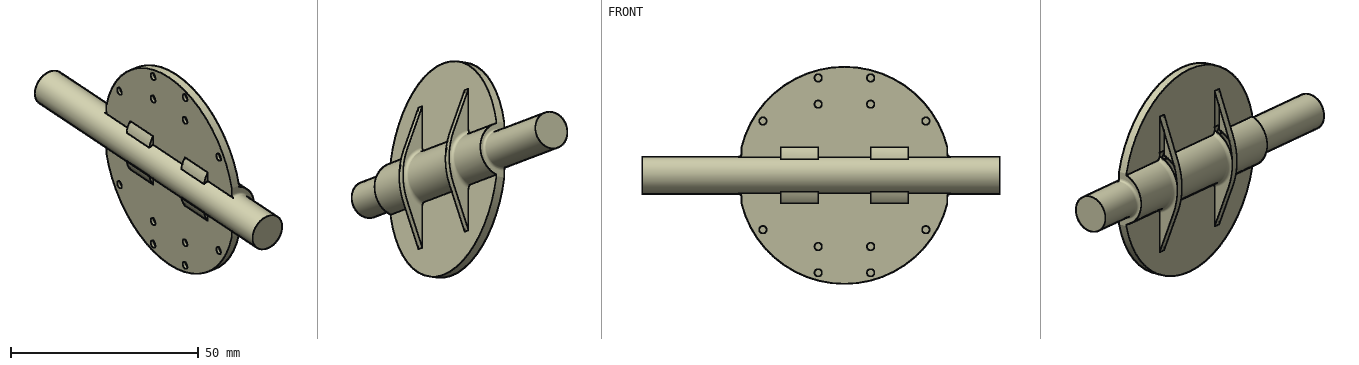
import cadquery as cq
import math

SHAFT_LENGTH = 95.5
SHAFT_RADIUS = 5.0

DISC_X = 6.25
DISC_HEIGHT = 58.0
DISC_THICKNESS = 2.5
DISC_FLAT_SPAN = 55.0
DISC_BACK = DISC_THICKNESS / 2
DISC_FRONT = -DISC_THICKNESS / 2

SLEEVE_AXIS_Y = DISC_FRONT
SLEEVE_RADIUS = 7.5
DISC_FLAT_HEIGHT = 2 * SLEEVE_RADIUS
SHAFT_FILLET = 0.7

STATION_OFFSET = 12.0
STATIONS = [DISC_X - STATION_OFFSET, DISC_X + STATION_OFFSET]
RIB_WIDTH = 2.0
RIB_HALF_SPAN = 19.4
RIB_CROWN_RADIUS = 20.0
RIB_FILLET = 1.0
RIB_HEIGHT = SLEEVE_AXIS_Y + SLEEVE_RADIUS + RIB_FILLET
CLIP_LENGTH = 10.0
CLIP_DEPTH = 2.5
CLIP_HALF_SPAN = SLEEVE_RADIUS
CLIP_MID_Y = -2.1
CLIP_MID_Z = 5.93
CLIP_TIP_Z = 4.6

HOLE_DIAMETER = 2.0
HOLE_DEPTH = 1.0
HOLE_PLACES = [(7.0, 26.0), (7.0, 19.0), (21.75, 14.5)]


def profile_at(x):
    """Sketch plane facing +X, with local x along Y and local y along Z."""
    return cq.Workplane("YZ", origin=(x, 0, 0))


def make_shaft():
    return profile_at(-SHAFT_LENGTH / 2).circle(SHAFT_RADIUS).extrude(SHAFT_LENGTH)


def make_disc():
    """Two arcs, top and bottom, joined by a flat at each X end."""
    half_span = DISC_FLAT_SPAN / 2
    half_flat = DISC_FLAT_HEIGHT / 2
    half_height = DISC_HEIGHT / 2
    return (
        cq.Workplane("XZ", origin=(DISC_X, DISC_BACK, 0))
        .moveTo(half_span, -half_flat)
        .lineTo(half_span, half_flat)
        .threePointArc((0, half_height), (-half_span, half_flat))
        .lineTo(-half_span, -half_flat)
        .threePointArc((0, -half_height), (half_span, -half_flat))
        .close()
        .extrude(DISC_THICKNESS)
    )


def behind_disc_front(body):
    """Keep only the part of a body that lies behind the front face of the disc."""
    depth = DISC_HEIGHT
    keep = cq.Workplane("XY").box(SHAFT_LENGTH, depth, DISC_HEIGHT)
    return body.intersect(keep.translate((0, DISC_FRONT + depth / 2, 0)))


def make_sleeve():
    tube = (
        profile_at(DISC_X - DISC_FLAT_SPAN / 2)
        .center(SLEEVE_AXIS_Y, 0)
        .circle(SLEEVE_RADIUS)
        .extrude(DISC_FLAT_SPAN)
    )
    return behind_disc_front(tube)


def make_fillet_ring(face_x, side, axis_y, radius, fillet):
    """Concave ring filling the corner between a round along X and a face across it.

    The face stands at face_x and the ring spreads from it towards side (-1 or +1).
    """
    tip_x = face_x + side * fillet
    arc_inset = fillet * (1 - math.sqrt(0.5))
    ring = (
        cq.Workplane("XY", origin=(0, axis_y, 0))
        .moveTo(face_x, 0)
        .lineTo(face_x, radius + fillet)
        .threePointArc((face_x + side * arc_inset, radius + arc_inset), (tip_x, radius))
        .lineTo(tip_x, 0)
        .close()
        .revolve(360, (0, 0, 0), (1, 0, 0))
    )
    return behind_disc_front(ring)


def make_rib(x):
    """Rib behind the disc: a round crown with a straight tangent down to each foot."""
    crown_y = RIB_HEIGHT - RIB_CROWN_RADIUS
    foot_angle = math.atan2(RIB_HALF_SPAN, DISC_BACK - crown_y)
    foot_distance = math.hypot(RIB_HALF_SPAN, DISC_BACK - crown_y)
    tangent_angle = foot_angle - math.acos(RIB_CROWN_RADIUS / foot_distance)
    tangent_y = crown_y + RIB_CROWN_RADIUS * math.cos(tangent_angle)
    tangent_z = RIB_CROWN_RADIUS * math.sin(tangent_angle)
    return (
        profile_at(x - RIB_WIDTH / 2)
        .moveTo(DISC_BACK, -RIB_HALF_SPAN)
        .lineTo(tangent_y, -tangent_z)
        .threePointArc((RIB_HEIGHT, 0), (tangent_y, tangent_z))
        .lineTo(DISC_BACK, RIB_HALF_SPAN)
        .close()
        .extrude(RIB_WIDTH)
    )


def make_clip(x):
    """Low pad on the disc front, gripping the shaft from above and below."""
    return (
        profile_at(x - CLIP_LENGTH / 2)
        .moveTo(DISC_FRONT, -CLIP_HALF_SPAN)
        .threePointArc((CLIP_MID_Y, -CLIP_MID_Z), (-CLIP_DEPTH, -CLIP_TIP_Z))
        .lineTo(-CLIP_DEPTH, CLIP_TIP_Z)
        .threePointArc((CLIP_MID_Y, CLIP_MID_Z), (DISC_FRONT, CLIP_HALF_SPAN))
        .close()
        .extrude(CLIP_LENGTH)
    )


def make_hole_tools():
    places = []
    for x, z in HOLE_PLACES:
        places += [(x, z), (-x, z), (x, -z), (-x, -z)]
    return (
        cq.Workplane("XZ", origin=(DISC_X, DISC_FRONT, 0))
        .pushPoints(places)
        .circle(HOLE_DIAMETER / 2)
        .extrude(-HOLE_DEPTH)
    )


body = make_disc().union(make_sleeve()).union(make_shaft())
for station in STATIONS:
    body = body.union(make_rib(station)).union(make_clip(station))
for side in (-1, 1):
    sleeve_end = DISC_X + side * DISC_FLAT_SPAN / 2
    body = body.union(make_fillet_ring(sleeve_end, side, 0, SHAFT_RADIUS, SHAFT_FILLET))
    for station in STATIONS:
        rib_face = station + side * RIB_WIDTH / 2
        body = body.union(make_fillet_ring(rib_face, side, SLEEVE_AXIS_Y, SLEEVE_RADIUS, RIB_FILLET))
result = body.cut(make_hole_tools())